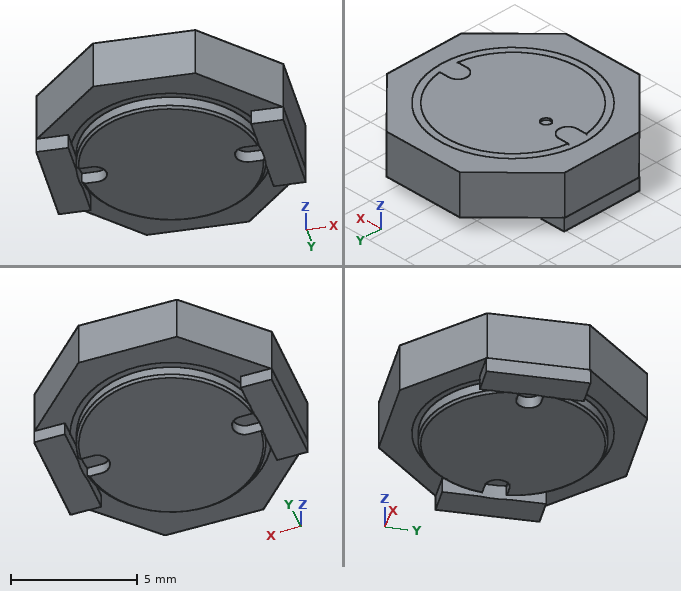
import cadquery as cq

SIZE = 10.0
TOTAL_HEIGHT = 2.78
TERMINAL_HEIGHT = 0.64

CORNER_CUT = 2.93
BORE_DIAMETER = 8.0
HOUSING_HEIGHT = TOTAL_HEIGHT - TERMINAL_HEIGHT

CORE_DIAMETER = 7.5
CORE_CHAMFER = 0.1
CORE_BOTTOM = 0.13
CORE_HEIGHT = TOTAL_HEIGHT - CORE_BOTTOM
NOTCH_WIDTH = 1.0
NOTCH_TIP = 2.6
NOTCH_LENGTH = CORE_DIAMETER / 2 - NOTCH_TIP + NOTCH_WIDTH

DOT_DIAMETER = 0.5
DOT_DEPTH = 0.1
DOT_X = -1.86

TERMINAL_LENGTH = 1.3
TERMINAL_WIDTH = 4.2

SIDES = (-1, 1)


def cylinder(diameter, bottom, height):
    """Upright cylinder on the Z axis."""
    return cq.Workplane("XY", origin=(0, 0, bottom)).circle(diameter / 2).extrude(height)


def make_housing():
    """Octagonal block with a round bore through it."""
    block = (
        cq.Workplane("XY", origin=(0, 0, TERMINAL_HEIGHT))
        .rect(SIZE, SIZE)
        .extrude(HOUSING_HEIGHT)
        .edges("|Z")
        .chamfer(CORNER_CUT)
    )
    return block.cut(cylinder(BORE_DIAMETER, TERMINAL_HEIGHT, HOUSING_HEIGHT))


def notch_cutter(side):
    """Round-ended slot from the notch tip out past the rim of the core."""
    return (
        cq.Workplane("XY", origin=(side * (NOTCH_TIP + NOTCH_LENGTH / 2), 0, CORE_BOTTOM))
        .slot2D(NOTCH_LENGTH, NOTCH_WIDTH)
        .extrude(CORE_HEIGHT)
    )


def make_notched_drum():
    """Chamfered drum with a notch through each side."""
    drum = cylinder(CORE_DIAMETER, CORE_BOTTOM, CORE_HEIGHT).edges().chamfer(CORE_CHAMFER)
    for side in SIDES:
        drum = drum.cut(notch_cutter(side))
    return drum


def make_core(drum):
    """Notched drum with the polarity dot sunk into its top."""
    dot = cylinder(DOT_DIAMETER, TOTAL_HEIGHT - DOT_DEPTH, DOT_DEPTH).translate((DOT_X, 0, 0))
    return drum.cut(dot)


def make_filler(drum):
    """Filling of the bore around the drum, with a tab in each notch."""
    return cylinder(BORE_DIAMETER, TERMINAL_HEIGHT, HOUSING_HEIGHT).cut(drum)


def make_terminal(side):
    """Flat block under one side of the housing, hollowed where the core stands."""
    block = cq.Workplane("XY").box(
        TERMINAL_LENGTH, TERMINAL_WIDTH, TERMINAL_HEIGHT, centered=(True, True, False)
    )
    block = block.translate((side * (SIZE - TERMINAL_LENGTH) / 2, 0, 0))
    return block.cut(cylinder(CORE_DIAMETER, 0, TERMINAL_HEIGHT))


housing = make_housing()
drum = make_notched_drum()
core = make_core(drum)
filler = make_filler(drum)
terminals = [make_terminal(side) for side in SIDES]

result = cq.Compound.makeCompound(
    [
        housing.val(),
        core.val(),
        filler.val(),
        *[terminal.val() for terminal in terminals],
    ]
)